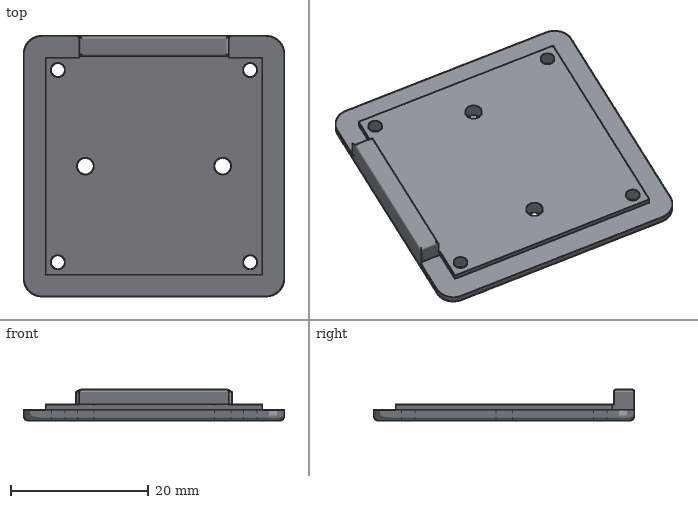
import cadquery as cq

base_side = 38.0
base_thickness = 1.6
corner_radius = 2.7
bottom_edge_radius = 0.8

pad_inset = 3.2
pad_side = base_side - 2 * pad_inset
pad_top = 2.4

rib_length = 21.75
rib_depth = 3.0
rib_top = 4.6
rib_edge_radius = 0.4
flare_radius = 0.5

corner_hole_diameter = 2.0
corner_hole_spacing = 28.0
middle_hole_diameter = 2.4
middle_hole_spacing = 20.0

rear_y = base_side / 2


def make_base():
    """Rounded square plate with a rounded bottom rim."""
    plate = cq.Workplane("XY").rect(base_side, base_side).extrude(base_thickness)
    plate = plate.edges("|Z").fillet(corner_radius)
    return plate.faces("<Z").edges().fillet(bottom_edge_radius)


def make_pad():
    """Sharp-cornered square pad, standing on the base."""
    return cq.Workplane("XY").rect(pad_side, pad_side).extrude(pad_top)


def make_rib_foot():
    """Block at pad height that closes the gap between the rib and the pad."""
    return (
        cq.Workplane("XY", origin=(0, rear_y - pad_inset / 2, base_thickness))
        .rect(rib_length, pad_inset)
        .extrude(pad_top - base_thickness)
    )


def make_rib():
    """Rib with rounded top edges and ends that flare out in hollow arcs at the rear."""
    half_length = rib_length / 2
    front_y = rear_y - rib_depth
    rib_height = rib_top - base_thickness

    strip_half_length = half_length + rib_depth
    strip_y = rear_y + rib_depth
    arc_start_y = rear_y - flare_radius
    flare_tip_x = half_length + flare_radius
    flared = (
        cq.Workplane("XY", origin=(0, 0, base_thickness))
        .moveTo(-half_length, front_y)
        .lineTo(half_length, front_y)
        .lineTo(half_length, arc_start_y)
        .radiusArc((flare_tip_x, rear_y), flare_radius)
        .lineTo(strip_half_length, rear_y)
        .lineTo(strip_half_length, strip_y)
        .lineTo(-strip_half_length, strip_y)
        .lineTo(-strip_half_length, rear_y)
        .lineTo(-flare_tip_x, rear_y)
        .radiusArc((-half_length, arc_start_y), flare_radius)
        .close()
        .extrude(rib_height)
        .faces(">Z")
        .edges()
        .fillet(rib_edge_radius)
    )

    envelope = (
        cq.Workplane("XY", origin=(0, front_y, base_thickness))
        .rect(2 * flare_tip_x, 2 * rib_depth)
        .extrude(rib_height)
        .faces(">Y")
        .edges(">Z")
        .fillet(rib_edge_radius)
    )
    return flared.intersect(envelope)


def make_holes():
    """Cutters for the four corner holes and the two middle holes."""
    corner_holes = (
        cq.Workplane("XY")
        .rect(corner_hole_spacing, corner_hole_spacing, forConstruction=True)
        .vertices()
        .circle(corner_hole_diameter / 2)
        .extrude(pad_top)
    )
    middle_holes = (
        cq.Workplane("XY")
        .pushPoints([(-middle_hole_spacing / 2, 0), (middle_hole_spacing / 2, 0)])
        .circle(middle_hole_diameter / 2)
        .extrude(pad_top)
    )
    return corner_holes.union(middle_holes)


body = make_base().union(make_pad()).union(make_rib_foot()).union(make_rib())
result = body.cut(make_holes())